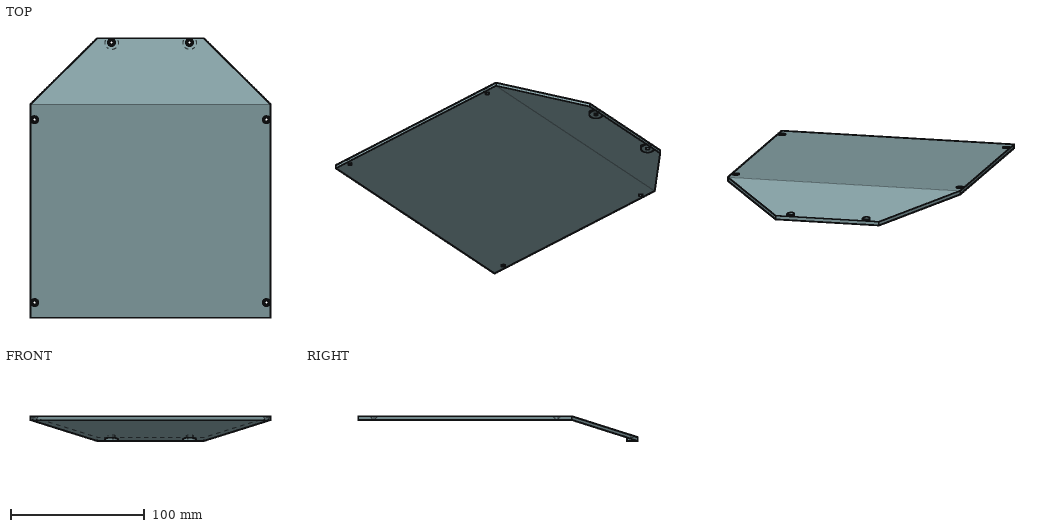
import cadquery as cq

width = 180.0
length = 209.5
height = 18.6
thickness = 3.0
panel_length = 160.0
flap_tip_width = 80.0
drop = height - thickness

hole_diameter = 3.0
head_diameter = 5.5
countersink_depth = (head_diameter - hole_diameter) / 2
edge_distance = 3.1
panel_hole_inset = 11.5
tip_hole_spacing = 58.5

seat_diameter = 10.0

panel_holes = [
    (side * (width / 2 - edge_distance), y)
    for side in (-1, 1)
    for y in (panel_hole_inset, panel_length - panel_hole_inset)
]
tip_holes = [(side * tip_hole_spacing / 2, length - edge_distance) for side in (-1, 1)]


def bent_slab(slab_depth):
    """Full-width bent slab of the given vertical depth, measured down from the top faces."""
    return (
        cq.Workplane("YZ")
        .moveTo(0, height)
        .lineTo(panel_length, height)
        .lineTo(length, thickness)
        .lineTo(length, thickness - slab_depth)
        .lineTo(panel_length, height - slab_depth)
        .lineTo(0, height - slab_depth)
        .close()
        .extrude(width / 2, both=True)
    )


def plan_outline():
    """Plan shape of the part: rectangle followed by the tapering flap."""
    return (
        cq.Workplane("XY")
        .moveTo(-width / 2, 0)
        .lineTo(width / 2, 0)
        .lineTo(width / 2, panel_length)
        .lineTo(flap_tip_width / 2, length)
        .lineTo(-flap_tip_width / 2, length)
        .lineTo(-width / 2, panel_length)
        .close()
        .extrude(height)
    )


def screw_seats():
    """Level-bottomed discs, trimmed by the top of the flap and its tip edge."""
    discs = (
        cq.Workplane("XY")
        .pushPoints(tip_holes)
        .circle(seat_diameter / 2)
        .extrude(height)
    )
    return discs.intersect(bent_slab(2 * thickness)).intersect(plan_outline())


def screw_cutter(x, y, base):
    """Vertical hole with a conical seat and clearance for the head above it."""
    shoulder = base + thickness - countersink_depth
    return (
        cq.Workplane("XZ", origin=(x, y, 0))
        .moveTo(0, base)
        .lineTo(hole_diameter / 2, base)
        .lineTo(hole_diameter / 2, shoulder)
        .lineTo(head_diameter / 2, base + thickness)
        .lineTo(head_diameter / 2, base + 2 * thickness)
        .lineTo(0, base + 2 * thickness)
        .close()
        .revolve(360, (0, 0, 0), (0, 1, 0))
    )


result = bent_slab(thickness).intersect(plan_outline()).union(screw_seats())
for x, y in panel_holes:
    result = result.cut(screw_cutter(x, y, drop))
for x, y in tip_holes:
    result = result.cut(screw_cutter(x, y, 0))